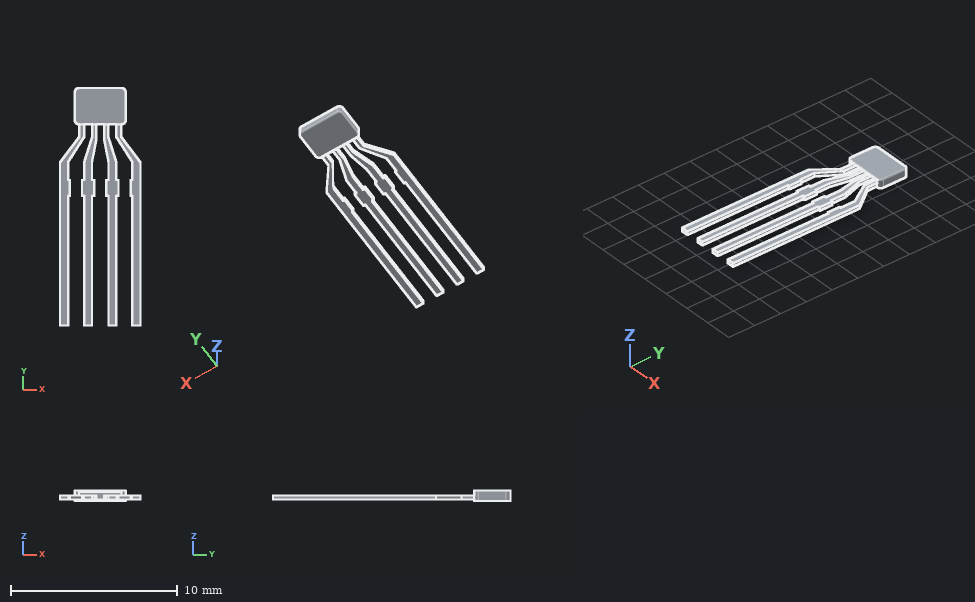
import cadquery as cq

TOTAL_LENGTH = 14.3
LEAD_SPAN = 4.87

BODY_WIDTH = 3.08
BODY_LENGTH = 2.2
BODY_HEIGHT = 0.65
CORNER_RADIUS = 0.27
RIM_RADIUS = 0.05

RECESS_WIDTH = BODY_WIDTH - 2 * CORNER_RADIUS
RECESS_DEPTH = 0.37
RECESS_WALL = 0.09

LEAD_THICKNESS = 0.26
LEAD_BOTTOM = RECESS_WALL
LEAD_ANCHOR = 0.3
LEAD_EMBED = RECESS_DEPTH + LEAD_ANCHOR

OUTER_NECK = (0.96, 1.27)
OUTER_LEG = (1.92, LEAD_SPAN / 2)
INNER_NECK = (0.23, 0.49)
INNER_LEG = (0.49, 0.97)
OUTER_TAB_STEP = 0.1
INNER_TAB_STEP = 0.135

NECK_LENGTH = 0.75
INNER_NECK_LENGTH = 0.92
SPREAD_END = 2.25
OUTER_SPREAD_END = 2.29
TAB_START = 3.33
TAB_LENGTH = 0.97

FRONT_Y = -BODY_LENGTH / 2
LEAD_LENGTH = TOTAL_LENGTH - BODY_LENGTH


def make_body():
    """Rounded rectangular package with softened rims and an open recess in front."""
    block = cq.Workplane("XY").box(BODY_WIDTH, BODY_LENGTH, BODY_HEIGHT, centered=(True, True, False))
    block = block.edges("|Z").fillet(CORNER_RADIUS).faces("<Z or >Z").edges().fillet(RIM_RADIUS)
    recess = (
        cq.Workplane("XY")
        .box(RECESS_WIDTH, RECESS_DEPTH, BODY_HEIGHT - 2 * RECESS_WALL, centered=(True, False, False))
        .translate((0, FRONT_Y, RECESS_WALL))
    )
    return block.cut(recess)


def make_lead(neck, leg, neck_lengths, spread_ends):
    """Flat lead on the +X side; each pair gives the inward edge, then the outward edge."""
    outline = [
        (neck[0], FRONT_Y + LEAD_EMBED),
        (neck[0], FRONT_Y - neck_lengths[0]),
        (leg[0], FRONT_Y - spread_ends[0]),
        (leg[0], FRONT_Y - LEAD_LENGTH),
        (leg[1], FRONT_Y - LEAD_LENGTH),
        (leg[1], FRONT_Y - spread_ends[1]),
        (neck[1], FRONT_Y - neck_lengths[1]),
        (neck[1], FRONT_Y + LEAD_EMBED),
    ]
    return cq.Workplane("XY").workplane(offset=LEAD_BOTTOM).polyline(outline).close().extrude(LEAD_THICKNESS)


def make_tab(inward_x, outward_x):
    """Wider stretch of a lead where the frame's tie bar was cut away."""
    return (
        cq.Workplane("XY")
        .box(outward_x - inward_x, TAB_LENGTH, LEAD_THICKNESS, centered=False)
        .translate((inward_x, FRONT_Y - TAB_START - TAB_LENGTH, LEAD_BOTTOM))
    )


outer_lead = make_lead(OUTER_NECK, OUTER_LEG, (NECK_LENGTH, NECK_LENGTH), (SPREAD_END, OUTER_SPREAD_END))
outer_lead = outer_lead.union(make_tab(OUTER_LEG[0] - OUTER_TAB_STEP, OUTER_LEG[1]))

inner_lead = make_lead(INNER_NECK, INNER_LEG, (INNER_NECK_LENGTH, NECK_LENGTH), (SPREAD_END, SPREAD_END))
inner_lead = inner_lead.union(make_tab(INNER_LEG[0] - INNER_TAB_STEP, INNER_LEG[1] + INNER_TAB_STEP))

result = make_body()
for lead in (outer_lead, inner_lead):
    result = result.union(lead).union(lead.mirror("YZ"))